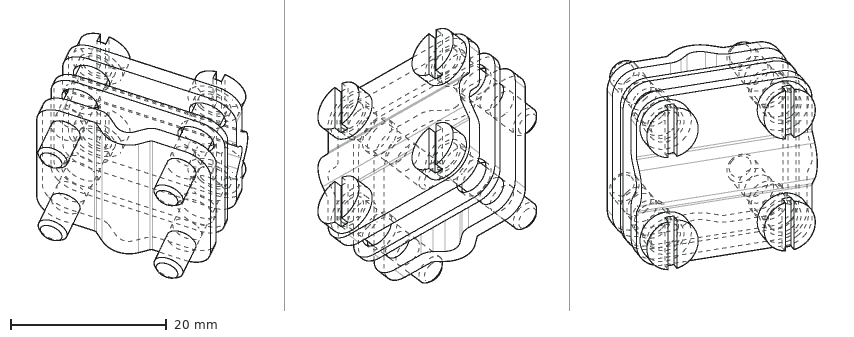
import cadquery as cq
import math

PLATE_SIDE = 24.0
CORNER_RADIUS = 3.5
CLAMP_THICKNESS = 2.0
SPACER_THICKNESS = 1.0
PLATE_GAP = 3.0

CHANNEL_INNER_RADIUS = 2.0
CHANNEL_OUTER_RADIUS = CHANNEL_INNER_RADIUS + CLAMP_THICKNESS
CHANNEL_HALF_WIDTH = 4.03
ROOT_RADIUS = 0.5
SHOULDER_RADIUS = ROOT_RADIUS + CLAMP_THICKNESS

SCREW_SPACING = 16.0
SHANK_DIAMETER = 4.0
CLEARANCE_DIAMETER = 5.0
HEAD_DIAMETER = 7.0
HEAD_HEIGHT = 2.6
SLOT_WIDTH = 1.2
SLOT_DEPTH = 1.2
TIP_CHAMFER = 0.5
TIP_PROJECTION = 5.02

SPACER_FRONT_Y = CLAMP_THICKNESS + PLATE_GAP
BACK_PLATE_FRONT_Y = SPACER_FRONT_Y + SPACER_THICKNESS + PLATE_GAP
BACK_PLATE_BACK_Y = BACK_PLATE_FRONT_Y + CLAMP_THICKNESS

SCREW_POSITIONS = [
    (side_x * SCREW_SPACING / 2, side_z * SCREW_SPACING / 2)
    for side_x in (-1, 1)
    for side_z in (-1, 1)
]


def cylinder_along_y(diameter, y_start, length, x=0.0, z=0.0):
    """Cylinder pointing toward +Y from y_start."""
    solid = cq.Solid.makeCylinder(diameter / 2, length, cq.Vector(x, y_start, z), cq.Vector(0, 1, 0))
    return cq.Workplane(obj=solid)


def rounded_block(y_start, depth):
    """Square block with rounded corners, reaching from y_start toward +Y."""
    return (
        cq.Workplane("XY")
        .box(PLATE_SIDE, depth, PLATE_SIDE)
        .edges("|Y")
        .fillet(CORNER_RADIUS)
        .translate((0, y_start + depth / 2, 0))
    )


def drill_screw_holes(plate, diameter):
    """Cut the four screw holes through a plate."""
    for x, z in SCREW_POSITIONS:
        plate = plate.cut(cylinder_along_y(diameter, -PLATE_SIDE, 2 * PLATE_SIDE, x, z))
    return plate


def arc_point(center, radius, angle):
    """Point on a circle, with the angle measured from straight down (-Y) toward +X."""
    return (center[0] + radius * math.sin(angle), center[1] - radius * math.cos(angle))


def mirrored(point):
    return (-point[0], point[1])


def clamp_plate_outline():
    """Bent-sheet section in XY: flat flanges and a channel bulging toward -Y."""
    half_side = PLATE_SIDE / 2
    channel_center = (0, CHANNEL_OUTER_RADIUS - CLAMP_THICKNESS)
    bend_center = (CHANNEL_HALF_WIDTH, -ROOT_RADIUS)

    rise = channel_center[1] - bend_center[1]
    center_distance = math.hypot(CHANNEL_HALF_WIDTH, rise)
    wall_angle = (
        math.asin((CHANNEL_OUTER_RADIUS + ROOT_RADIUS) / center_distance)
        - math.atan2(rise, CHANNEL_HALF_WIDTH)
    )

    def channel_point(radius, share):
        return arc_point(channel_center, radius, share * wall_angle)

    def bend_point(radius, share):
        return arc_point(bend_center, radius, math.pi + share * wall_angle)

    return (
        cq.Workplane("XY")
        .moveTo(-half_side, 0)
        .lineTo(*mirrored(bend_point(ROOT_RADIUS, 0)))
        .threePointArc(mirrored(bend_point(ROOT_RADIUS, 0.5)), mirrored(bend_point(ROOT_RADIUS, 1)))
        .lineTo(*channel_point(CHANNEL_OUTER_RADIUS, -1))
        .threePointArc(channel_point(CHANNEL_OUTER_RADIUS, 0), channel_point(CHANNEL_OUTER_RADIUS, 1))
        .lineTo(*bend_point(ROOT_RADIUS, 1))
        .threePointArc(bend_point(ROOT_RADIUS, 0.5), bend_point(ROOT_RADIUS, 0))
        .lineTo(half_side, 0)
        .lineTo(half_side, CLAMP_THICKNESS)
        .lineTo(*bend_point(SHOULDER_RADIUS, 0))
        .threePointArc(bend_point(SHOULDER_RADIUS, 0.5), bend_point(SHOULDER_RADIUS, 1))
        .lineTo(*channel_point(CHANNEL_INNER_RADIUS, 1))
        .threePointArc(channel_point(CHANNEL_INNER_RADIUS, 0), channel_point(CHANNEL_INNER_RADIUS, -1))
        .lineTo(*mirrored(bend_point(SHOULDER_RADIUS, 1)))
        .threePointArc(mirrored(bend_point(SHOULDER_RADIUS, 0.5)), mirrored(bend_point(SHOULDER_RADIUS, 0)))
        .lineTo(-half_side, CLAMP_THICKNESS)
        .close()
    )


def make_clamp_blank():
    """Clamp plate without holes: outer face at Y = 0, channel along Z bulging toward -Y."""
    sheet = clamp_plate_outline().extrude(PLATE_SIDE / 2, both=True)
    return sheet.intersect(rounded_block(-CLAMP_THICKNESS, 2 * CLAMP_THICKNESS))


def make_front_plate():
    """Front clamp plate, whose holes hold the screw shanks without play."""
    return drill_screw_holes(make_clamp_blank(), SHANK_DIAMETER)


def make_spacer_plate():
    """Thin flat plate between the clamp plates, with clearance holes."""
    return drill_screw_holes(rounded_block(SPACER_FRONT_Y, SPACER_THICKNESS), CLEARANCE_DIAMETER)


def make_back_plate():
    """Back clamp plate: turned to bulge toward +Y with its channel along X, with clearance holes."""
    blank = (
        make_clamp_blank()
        .rotate((0, 0, 0), (0, 0, 1), 180)
        .rotate((0, 0, 0), (0, 1, 0), 90)
        .translate((0, BACK_PLATE_BACK_Y, 0))
    )
    return drill_screw_holes(blank, CLEARANCE_DIAMETER)


def make_screw(x, z):
    """Slotted cheese-head screw, its head seated on the back plate and its tip toward -Y."""
    shank = cylinder_along_y(SHANK_DIAMETER, -TIP_PROJECTION, TIP_PROJECTION + BACK_PLATE_BACK_Y)
    shank = shank.faces("<Y").chamfer(TIP_CHAMFER)
    head = cylinder_along_y(HEAD_DIAMETER, BACK_PLATE_BACK_Y, HEAD_HEIGHT)
    slot_middle_y = BACK_PLATE_BACK_Y + HEAD_HEIGHT - SLOT_DEPTH / 2
    slot = cq.Workplane("XY").box(SLOT_WIDTH, SLOT_DEPTH, HEAD_DIAMETER).translate((0, slot_middle_y, 0))
    return shank.union(head).cut(slot).translate((x, 0, z))


front_plate = make_front_plate()
spacer_plate = make_spacer_plate()
back_plate = make_back_plate()
screws = [make_screw(x, z) for x, z in SCREW_POSITIONS]

result = cq.Compound.makeCompound(
    [front_plate.val(), spacer_plate.val(), back_plate.val(), *[screw.val() for screw in screws]]
)